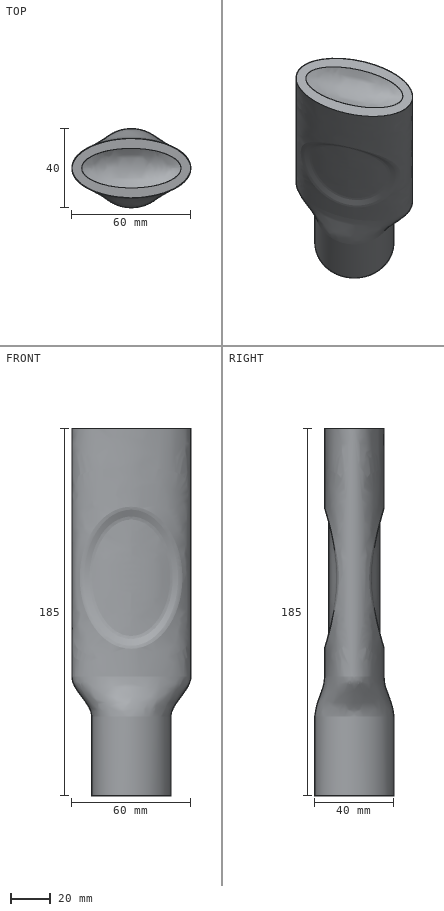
import cadquery as cq

total_height = 185.0
shank_diameter = 40.0
shank_height = shank_diameter

handle_width = 60.0
handle_thickness = handle_width / 2
neck_height = shank_height / 2
handle_base = shank_height + neck_height
neck_sections = 13

grip_center_z = 109.7
rim_width = 49.5
rim_height = 70.0
floor_width = 40.5
floor_height = 60.1
grip_depth = 2.0
grip_fillet = 4.0

top_rim = 5.0
dish_depth = 4.0


def ellipse_wire(width, thickness, z):
    """Horizontal elliptical outline centred on the Z axis."""
    return cq.Workplane("XY", origin=(0, 0, z)).ellipse(width / 2, thickness / 2).wires().val()


def make_shank():
    return cq.Workplane("XY").circle(shank_diameter / 2).extrude(shank_height)


def make_neck():
    """Blend from circle to ellipse that leaves both ends along Z."""
    sections = []
    for index in range(neck_sections):
        t = index / (neck_sections - 1)
        blend = t * t * (3 - 2 * t)
        width = shank_diameter + (handle_width - shank_diameter) * blend
        thickness = shank_diameter + (handle_thickness - shank_diameter) * blend
        sections.append(ellipse_wire(width, thickness, shank_height + neck_height * t))
    return cq.Workplane(cq.Solid.makeLoft(sections))


def make_handle(inset=0.0):
    """Elliptical column; a positive inset shrinks it, a negative one grows it."""
    return (
        cq.Workplane("XY", origin=(0, 0, handle_base))
        .ellipse(handle_width / 2 - inset, handle_thickness / 2 - inset)
        .extrude(total_height - handle_base)
    )


def oval_patch(inset, width, height):
    """Oval piece of the front skin of the column with the given inset."""
    oval = (
        cq.Workplane("XZ", origin=(0, 0, grip_center_z))
        .ellipse(width / 2, height / 2)
        .extrude(handle_width)
    )
    return make_handle(inset).intersect(oval).faces("<Y").val()


def make_grip_cutter():
    """Solid between the curved grip floor, its sloping wall and a lid outside the handle."""
    floor = oval_patch(grip_depth, floor_width, floor_height)
    rim = oval_patch(0.0, rim_width, rim_height)
    lid = oval_patch(-grip_depth, rim_width, rim_height)
    slope = cq.Face.makeRuledSurface(floor.outerWire(), rim.outerWire())
    skirt = cq.Face.makeRuledSurface(rim.outerWire(), lid.outerWire())
    faces = [floor, lid] + slope.Faces() + skirt.Faces()
    cutter = cq.Solid.makeSolid(cq.Shell.makeShell(faces))
    return cq.Workplane(cutter.fix())


def make_dish_cutter():
    """Spherical cap stretched along X into an oval dish."""
    cap_radius = handle_thickness / 2 - top_rim
    stretch = (handle_width / 2 - top_rim) / cap_radius
    sphere_radius = (cap_radius**2 + dish_depth**2) / (2 * dish_depth)
    center_z = total_height + sphere_radius - dish_depth
    sphere = cq.Solid.makeSphere(sphere_radius, angleDegrees1=-90, angleDegrees2=90)
    sphere = sphere.rotate(cq.Vector(0, 0, 0), cq.Vector(0, 1, 0), 90)
    stretch_and_lift = cq.Matrix([[stretch, 0, 0, 0], [0, 1, 0, 0], [0, 0, 1, center_z]])
    return cq.Workplane(sphere.transformGeometry(stretch_and_lift))


grip_cutter = make_grip_cutter()
grip_zone = cq.selectors.BoxSelector(
    (-rim_width / 2, -handle_thickness, grip_center_z - rim_height / 2),
    (rim_width / 2, handle_thickness, grip_center_z + rim_height / 2),
)

handle = make_handle()
for turn in (0, 180):
    handle = handle.cut(grip_cutter.rotate((0, 0, 0), (0, 0, 1), turn))
handle = handle.edges(grip_zone).fillet(grip_fillet)
handle = handle.cut(make_dish_cutter())

result = make_shank().union(make_neck()).union(handle)